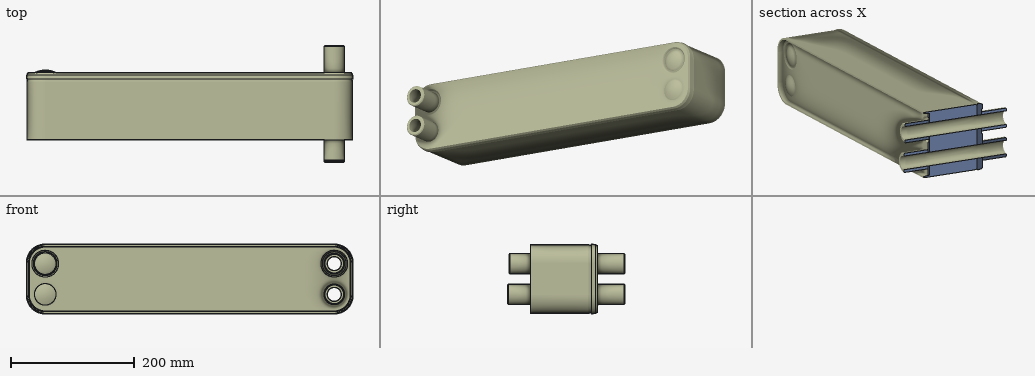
import cadquery as cq
import math


lip_flare = 1.0
rear_length = 527.5
rear_height = 113.0
pack_length = rear_length - 2 * lip_flare
pack_height = rear_height - 2 * lip_flare
pack_corner_radius = 29.5
pack_depth = 98.5
neck_depth = 5.0
neck_inset = 1.0

rear_thickness = 10.0
rear_draft = 8.0
rear_bevel_depth = 3.5
rear_bevel_inset = 1.5
rear_face_y = pack_depth + rear_thickness

rim_thickness = 2.5
rim_inset_at_floor = 4.0
front_thickness = 3.0
front_face_y = 8.0
floor_y = front_face_y + front_thickness

port_x = 233.0
port_z = 25.0
pipe_diameter = 33.0
bore_diameter = 22.0
pipe_chamfer = 1.5
dome_diameter = 35.0
dome_height = 4.0
sink_depth = 2.0
sink_diameter = 43.0
sink_floor_diameter = 38.5
front_pipe_tip_y = -36.5
rear_pipe_tip_y = 152.5


def outline(y, inset):
    """Rounded outline of the pack at position y along Y, moved inward by inset."""
    return (
        cq.Workplane("XZ", origin=(0, y, 0))
        .sketch()
        .rect(pack_length - 2 * inset, pack_height - 2 * inset)
        .vertices()
        .fillet(pack_corner_radius - inset)
        .finalize()
    )


def drafted_block(y_start, inset_start, y_end, inset_end):
    """Block between two Y positions whose sides lean from one inset to the other."""
    depth = y_end - y_start
    draft = math.degrees(math.atan2(inset_end - inset_start, depth))
    return outline(y_start, inset_start).extrude(-depth, taper=draft)


def disc(x, z, y_start, y_end, diameter):
    """Round bar along Y between two Y positions."""
    return (
        cq.Workplane("XZ", origin=(x, y_start, z))
        .circle(diameter / 2)
        .extrude(y_start - y_end)
    )


def sink(x, z, face_y, inward):
    """Conical depression cut into a plate face; inward is the Y direction into the plate."""
    floor = face_y + inward * sink_depth
    profile = [
        (0, face_y),
        (sink_diameter / 2, face_y),
        (sink_floor_diameter / 2, floor),
        (0, floor),
    ]
    return (
        cq.Workplane("XY").polyline(profile).close()
        .revolve(360, (0, 0, 0), (0, 1, 0))
        .translate((x, 0, z))
    )


def dome(x, z, base_y, outward):
    """Spherical cap standing on base_y; outward is the Y direction it bulges to."""
    half_chord = dome_diameter / 2
    sphere_radius = (half_chord**2 + dome_height**2) / (2 * dome_height)
    half_angle = math.asin(half_chord / sphere_radius) / 2
    middle = (
        sphere_radius * math.sin(half_angle),
        base_y + outward * (dome_height - sphere_radius * (1 - math.cos(half_angle))),
    )
    return (
        cq.Workplane("XY")
        .moveTo(0, base_y)
        .lineTo(half_chord, base_y)
        .threePointArc(middle, (0, base_y + outward * dome_height))
        .close()
        .revolve(360, (0, 0, 0), (0, 1, 0))
        .translate((x, 0, z))
    )


def press_ports(plate, face_y, inward):
    """Sink the upper ports, add the blind domes at -X and bore the open ports at +X."""
    for x in (-port_x, port_x):
        plate = plate.cut(sink(x, port_z, face_y, inward))
    plate = plate.union(dome(-port_x, port_z, face_y + inward * sink_depth, -inward))
    plate = plate.union(dome(-port_x, -port_z, face_y, -inward))
    return bore_ports(plate)


def bore_ports(body):
    """Open the two +X ports right through a body."""
    for z in (-port_z, port_z):
        body = body.cut(disc(port_x, z, front_pipe_tip_y, rear_pipe_tip_y, bore_diameter))
    return body


def make_pack():
    """Solid pack with a narrowed neck at the back and a drafted recess at the front."""
    neck_y = pack_depth - neck_depth
    pack = outline(0, 0).extrude(-neck_y)
    pack = pack.union(drafted_block(neck_y, 0, pack_depth, neck_inset))
    pack = pack.cut(drafted_block(0, rim_thickness, floor_y, rim_inset_at_floor))
    return bore_ports(pack)


def make_front_plate():
    """Plate filling the bottom of the front recess."""
    lean = (rim_inset_at_floor - rim_thickness) / floor_y
    face_inset = rim_thickness + lean * front_face_y
    plate = drafted_block(front_face_y, face_inset, floor_y, rim_inset_at_floor)
    return press_ports(plate, front_face_y, 1)


def make_rear_plate():
    """Cap overhanging the pack."""
    draft_inset = rear_thickness * math.tan(math.radians(rear_draft))
    plate = drafted_block(pack_depth, -lip_flare, rear_face_y, draft_inset - lip_flare)
    plate = plate.faces(">Y").edges().chamfer(rear_bevel_depth, rear_bevel_inset)
    return press_ports(plate, rear_face_y, -1)


def make_pipe(z, base_y, tip_y):
    """Connection pipe from its seat to its chamfered tip."""
    tip_side = ">Y" if tip_y > base_y else "<Y"
    pipe = disc(port_x, z, base_y, tip_y, pipe_diameter)
    pipe = pipe.faces(tip_side).edges().chamfer(pipe_chamfer)
    return pipe.cut(disc(port_x, z, base_y, tip_y, bore_diameter))


pack = make_pack()
front_plate = make_front_plate()
rear_plate = make_rear_plate()

pipe_places = [
    (-port_z, front_face_y, front_pipe_tip_y),
    (port_z, front_face_y + sink_depth, front_pipe_tip_y + sink_depth),
    (-port_z, rear_face_y, rear_pipe_tip_y),
    (port_z, rear_face_y - sink_depth, rear_pipe_tip_y),
]
pipes = [make_pipe(z, base_y, tip_y) for z, base_y, tip_y in pipe_places]

result = cq.Compound.makeCompound(
    [pack.val(), front_plate.val(), rear_plate.val(), *[pipe.val() for pipe in pipes]]
)